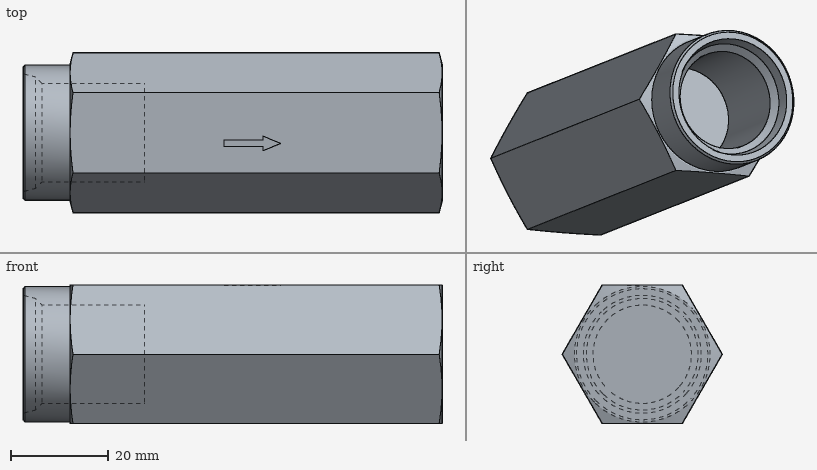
import cadquery as cq
import math

overall_length = 86.36
hex_across_flats = 28.575
collar_length = 9.7
collar_diameter = 27.94
collar_chamfer = 0.45

corner_chamfer_angle = 15.0
shoulder_face_diameter = hex_across_flats
far_end_face_diameter = 27.94

bore_diameter = 20.27
bore_depth = 25.0
mouth_diameter = 24.3
taper_end_diameter = 23.0
taper_depth = 2.54
cone_angle = 45.0

arrow_length = 11.7
arrow_shaft_length = 8.1
arrow_shaft_width = 1.35
arrow_head_width = 3.0
arrow_center_x = 4.0
arrow_center_y = -2.2
arrow_depth = 0.1

collar_end_x = -overall_length / 2
far_end_x = overall_length / 2
shoulder_x = collar_end_x + collar_length
hex_corner_radius = hex_across_flats / math.sqrt(3)
top_flat_z = hex_across_flats / 2


def revolve_profile(points):
    """Turn a closed (x, radius) outline about the X axis."""
    return cq.Workplane("XY").polyline(points).close().revolve(360, (0, 0, 0), (1, 0, 0))


def make_hex_body():
    """Hexagonal bar with flats at top and bottom and conical corner chamfers."""
    bar = (
        cq.Workplane("YZ", origin=(shoulder_x, 0, 0))
        .polygon(6, 2 * hex_corner_radius)
        .extrude(far_end_x - shoulder_x)
    )
    slope = math.tan(math.radians(corner_chamfer_angle))
    near_radius = shoulder_face_diameter / 2
    far_radius = far_end_face_diameter / 2
    near_chamfer_length = (hex_corner_radius - near_radius) * slope
    far_chamfer_length = (hex_corner_radius - far_radius) * slope
    turned_envelope = revolve_profile([
        (shoulder_x, 0),
        (shoulder_x, near_radius),
        (shoulder_x + near_chamfer_length, hex_corner_radius),
        (far_end_x - far_chamfer_length, hex_corner_radius),
        (far_end_x, far_radius),
        (far_end_x, 0),
    ])
    return bar.intersect(turned_envelope)


def make_collar():
    """Round collar with a chamfered outer rim."""
    return (
        cq.Workplane("YZ", origin=(collar_end_x, 0, 0))
        .circle(collar_diameter / 2)
        .extrude(collar_length)
        .faces("<X")
        .chamfer(collar_chamfer)
    )


def make_port():
    """Cutter for the blind port opening at the collar end."""
    taper_end_x = collar_end_x + taper_depth
    cone_length = (taper_end_diameter - bore_diameter) / 2 / math.tan(math.radians(cone_angle))
    bore_end_x = collar_end_x + bore_depth
    return revolve_profile([
        (collar_end_x, 0),
        (collar_end_x, mouth_diameter / 2),
        (taper_end_x, taper_end_diameter / 2),
        (taper_end_x + cone_length, bore_diameter / 2),
        (bore_end_x, bore_diameter / 2),
        (bore_end_x, 0),
    ])


def make_flow_arrow():
    """Cutter for the flow arrow, lying just under the top flat."""
    tail_x = arrow_center_x - arrow_length / 2
    head_x = tail_x + arrow_shaft_length
    half_shaft = arrow_shaft_width / 2
    half_head = arrow_head_width / 2
    return (
        cq.Workplane("XY", origin=(0, arrow_center_y, top_flat_z - arrow_depth))
        .polyline([
            (tail_x, -half_shaft),
            (head_x, -half_shaft),
            (head_x, -half_head),
            (tail_x + arrow_length, 0),
            (head_x, half_head),
            (head_x, half_shaft),
            (tail_x, half_shaft),
        ])
        .close()
        .extrude(arrow_depth)
    )


result = make_hex_body().union(make_collar()).cut(make_port()).cut(make_flow_arrow())